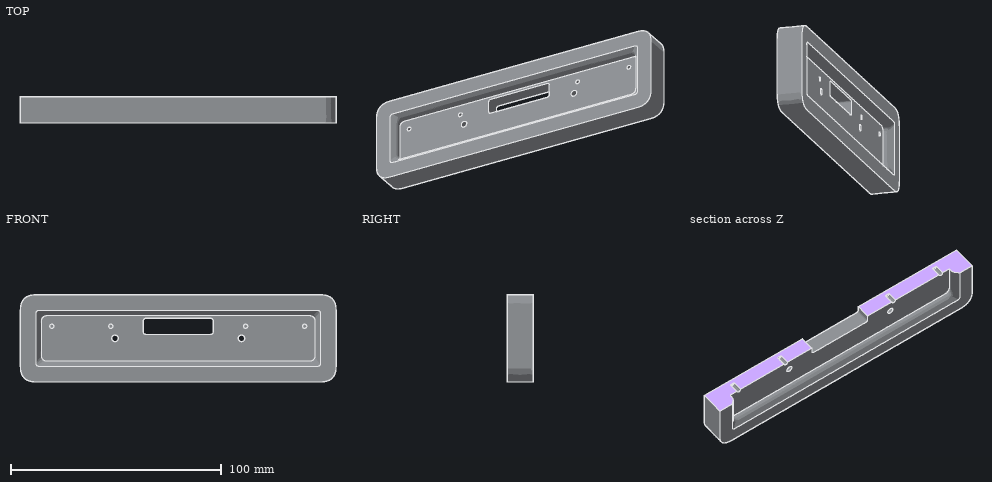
import cadquery as cq

LENGTH = 150.0
THICKNESS = 12.5
HEIGHT = 41.5
OUTER_CORNER_REACH = 7.5

RIM_WIDTH = 7.5
MOUTH_BEVEL = 2.5
MOUTH_CORNER_RADIUS = 1.25
WALL_ROUNDING = 2.5
WALL_CORNER_RADIUS = 2.5
RECESS_DEPTH = 5.0
RING_SELECTION_MARGIN = 0.1

MOUTH_LENGTH = LENGTH - 2 * RIM_WIDTH
MOUTH_HEIGHT = HEIGHT - 2 * RIM_WIDTH
FLOOR_THICKNESS = THICKNESS - RECESS_DEPTH
WELL_LENGTH = MOUTH_LENGTH - 2 * MOUTH_BEVEL
WELL_HEIGHT = MOUTH_HEIGHT - 2 * MOUTH_BEVEL

WINDOW_LENGTH = 33.0
WINDOW_HEIGHT = 7.5
WINDOW_RADIUS = 1.0
WINDOW_CENTER_Z = 5.7

PILOT_DIAMETER = 2.0
PILOT_DEPTH = 5.0
PILOT_OFFSETS_X = (32.0, 60.0)
PILOT_Z = 5.75
MOUNT_DIAMETER = 3.0
MOUNT_OFFSET_X = 30.0
MOUNT_Z = 0.0


def plane_at_depth(depth):
    """Sketch plane parallel to the front face whose normal points into the part."""
    return cq.Plane(origin=(0, depth, 0), xDir=(1, 0, 0), normal=(0, 1, 0))


def sketch_point(x, z):
    """Sketch coordinates of a part position; the sketch's second axis points along -Z."""
    return (x, -z)


def outer_block():
    """Block whose corners are parabolic arcs, slightly fuller than circular ones."""
    half_length = LENGTH / 2
    half_height = HEIGHT / 2
    straight_x = half_length - OUTER_CORNER_REACH
    straight_z = half_height - OUTER_CORNER_REACH
    quarter = (
        cq.Workplane(plane_at_depth(0))
        .lineTo(half_length, 0)
        .lineTo(half_length, straight_z)
        .bezier([(half_length, straight_z), (half_length, half_height), (straight_x, half_height)])
        .lineTo(0, half_height)
        .close()
        .extrude(THICKNESS)
    )
    half = quarter.union(quarter.mirror("YZ"))
    return half.union(half.mirror("XY")).clean()


def rounded_rectangle(length, height, radius):
    return cq.Sketch().rect(length, height).vertices().fillet(radius)


def recess_cutter():
    """Recess volume: a mouth that narrows at 45 degrees into a straight-walled well."""
    mouth_profile = rounded_rectangle(MOUTH_LENGTH, MOUTH_HEIGHT, MOUTH_CORNER_RADIUS)
    well_profile = rounded_rectangle(WELL_LENGTH, WELL_HEIGHT, WALL_CORNER_RADIUS)
    bevel_end = well_profile.moved(cq.Location(cq.Vector(0, 0, MOUTH_BEVEL)))
    mouth = cq.Workplane(plane_at_depth(0)).placeSketch(mouth_profile, bevel_end).loft(ruled=True)
    well = cq.Workplane(plane_at_depth(MOUTH_BEVEL)).placeSketch(well_profile)
    cutter = mouth.union(well.extrude(RECESS_DEPTH - MOUTH_BEVEL))
    bevel_ring = cq.selectors.BoxSelector(
        (-LENGTH, MOUTH_BEVEL - RING_SELECTION_MARGIN, -HEIGHT),
        (LENGTH, MOUTH_BEVEL + RING_SELECTION_MARGIN, HEIGHT),
    )
    return cutter.edges(bevel_ring).fillet(WALL_ROUNDING)


def window_cutter():
    """Opening through the recess floor with rounded vertical corners."""
    center = sketch_point(0, WINDOW_CENTER_Z)
    floor = cq.Workplane(plane_at_depth(RECESS_DEPTH)).center(*center)
    window = floor.rect(WINDOW_LENGTH, WINDOW_HEIGHT).extrude(FLOOR_THICKNESS)
    return window.edges("|Y").fillet(WINDOW_RADIUS)


def hole_pairs_cutter(offsets_x, z, diameter, depth):
    """Holes from the recess floor at +X and -X of every offset."""
    points = [sketch_point(side * x, z) for x in offsets_x for side in (-1, 1)]
    floor = cq.Workplane(plane_at_depth(RECESS_DEPTH))
    return floor.pushPoints(points).circle(diameter / 2).extrude(depth)


pilot_holes = hole_pairs_cutter(PILOT_OFFSETS_X, PILOT_Z, PILOT_DIAMETER, PILOT_DEPTH)
mount_holes = hole_pairs_cutter((MOUNT_OFFSET_X,), MOUNT_Z, MOUNT_DIAMETER, FLOOR_THICKNESS)

result = outer_block().cut(recess_cutter()).cut(window_cutter()).cut(pilot_holes).cut(mount_holes)